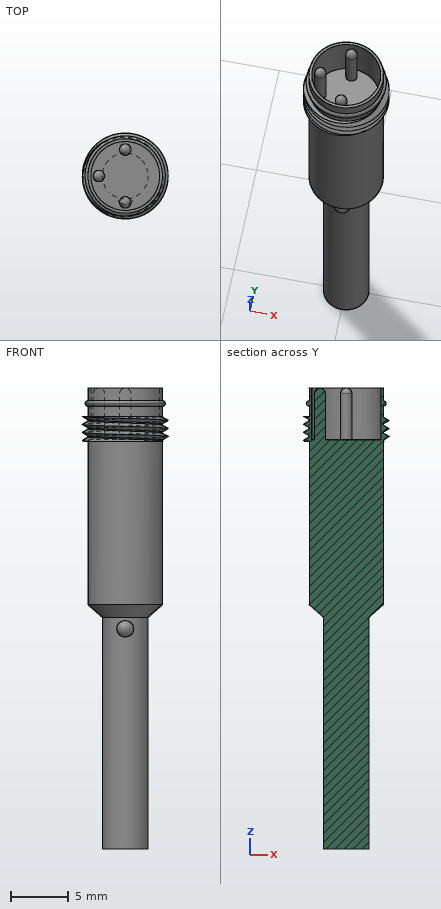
import cadquery as cq

total_height = 40.2
cable_length = 20.2
taper_height = 1.1
body_start = cable_length + taper_height

cable_radius = 4.0 / 2
body_radius = 6.5 / 2

bore_radius = 6.0 / 2
bore_depth = 4.5
pin_radius = 1.0 / 2
pin_circle_radius = 2.3
pin_angles = (90, 180, 270)
pin_embed = 0.5

ring_section_radius = 0.25
ring_drop = 1.35

thread_radius = 7.5 / 2
thread_pitch = 0.7
thread_base_width = 0.66
thread_embed = 0.05
thread_top = total_height - 2.5
thread_bottom = total_height - 4.65
crest_drop = 2.83
turns_below_crest = 4
thread_turns = 6

lamp_radius = 1.5 / 2
lamp_protrusion = 0.5
lamp_height = 19.2


def make_body():
    """Cable, taper and cylindrical plug body as one turned solid."""
    profile = [
        (0, 0),
        (cable_radius, 0),
        (cable_radius, cable_length),
        (body_radius, body_start),
        (body_radius, total_height),
        (0, total_height),
    ]
    return cq.Workplane("XZ").polyline(profile).close().revolve(360, (0, 0), (0, 1))


def make_thread():
    """Sharp helical ridge, trimmed flat at both ends."""
    helix_start = total_height - crest_drop - turns_below_crest * thread_pitch
    base_radius = body_radius - thread_embed
    helix = cq.Wire.makeHelix(
        thread_pitch,
        thread_turns * thread_pitch,
        body_radius,
        center=cq.Vector(0, 0, helix_start),
        lefthand=True,
    )
    ridge_section = [
        (base_radius, helix_start - thread_base_width / 2),
        (thread_radius, helix_start),
        (base_radius, helix_start + thread_base_width / 2),
    ]
    ridge = cq.Workplane("XZ").polyline(ridge_section).close().sweep(helix, isFrenet=True)
    trim = (
        cq.Workplane("XY", origin=(0, 0, thread_bottom))
        .circle(2 * thread_radius)
        .extrude(thread_top - thread_bottom)
    )
    return ridge.intersect(trim)


def make_sealing_ring():
    """Torus half sunk into the body surface."""
    ring = cq.Solid.makeTorus(
        body_radius,
        ring_section_radius,
        cq.Vector(0, 0, total_height - ring_drop),
        cq.Vector(0, 0, 1),
    )
    return cq.Workplane(obj=ring)


def make_bore():
    """Round socket opening at the top face."""
    floor = total_height - bore_depth
    return cq.Workplane("XY", origin=(0, 0, floor)).circle(bore_radius).extrude(bore_depth)


def make_pins():
    """Round-nosed contact pins, their tips level with the top face."""
    nose_centre = total_height - pin_radius
    pin_bottom = total_height - bore_depth - pin_embed
    pin_profile = (
        cq.Workplane("XZ")
        .moveTo(0, pin_bottom)
        .lineTo(pin_radius, pin_bottom)
        .lineTo(pin_radius, nose_centre)
        .radiusArc((0, total_height), -pin_radius)
        .close()
    )
    pin = pin_profile.revolve(360, (0, 0), (0, 1)).translate((pin_circle_radius, 0, 0))
    pins = cq.Workplane("XY")
    for angle in pin_angles:
        pins = pins.add(pin.rotate((0, 0, 0), (0, 0, 1), angle))
    return pins.combine()


def make_lamp():
    """Ball partly sunk into the cable."""
    lamp_y = -(cable_radius + lamp_protrusion - lamp_radius)
    return cq.Workplane("XZ", origin=(0, lamp_y, lamp_height)).sphere(lamp_radius)


result = (
    make_body()
    .union(make_thread())
    .union(make_sealing_ring())
    .cut(make_bore())
    .union(make_pins())
    .union(make_lamp())
)